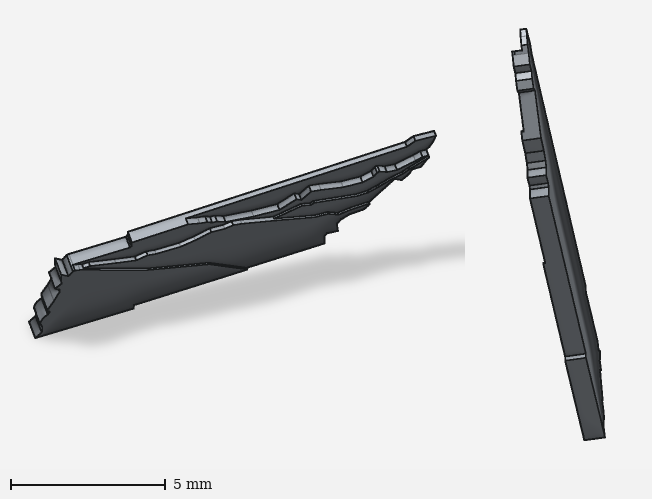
import cadquery as cq


LENGTH = 13.72
HEIGHT = 4.95

BASE_TOP = 0.2
SECOND_TOP = 0.45
THIRD_TOP = 0.54
FOURTH_TOP = 0.62
FIFTH_TOP = 0.69

CLEARANCE = 0.14

WEST_TIP = (LENGTH, HEIGHT)
SOUTH_EAST_TIP = (0.0, 0.0)
NORTH_EAST_CORNER = (1.28, 3.18)

north_border = [
    WEST_TIP, (13.02, HEIGHT), (12.73, 4.75), (3.35, 3.62),
    (3.33, 3.43), (3.28, 3.38), (1.35, 3.21), NORTH_EAST_CORNER,
]
upper_east_border = [
    (1.13, 2.98), (0.88, 3.17), (0.88, 2.8), (0.9, 2.68), (0.67, 2.47),
    (0.82, 2.35), (0.82, 2.22), (0.63, 1.8), (0.41, 1.39),
    (0.41, 1.33), (0.5, 1.25), (0.43, 1.14),
]
BULGE_MIDDLE = (0.22, 0.9)
BULGE_END = (0.16, 0.71)
HOLLOW_MIDDLE = (0.25, 0.44)
HOLLOW_END = (0.22, 0.23)

south_border = [
    (3.33, 0.27), (3.35, 0.45), (9.82, 1.13), (9.82, 1.55), (9.9, 1.65),
    (10.28, 1.63), (10.24, 2.05), (10.37, 2.22), (10.66, 2.39), (11.15, 2.47),
]
west_border = [
    (12.21, 3.61), (12.46, 3.45), (12.69, 3.66), (12.81, 3.9),
    (13.1, 3.91), (13.31, 4.24), (13.5, 4.43), (13.64, 4.7),
]

SHEET_WEST_TIP = (13.39, 4.32)
NORTH_JOINT = (1.35, 3.2)

second_edge = [
    SHEET_WEST_TIP, (13.18, 4.32), (12.94, 4.2), (12.32, 3.95), (11.98, 3.98),
    (11.73, 4.12), (11.65, 4.07), (11.52, 3.91), (11.15, 3.75), (10.5, 3.75),
    (9.74, 3.91), (9.41, 3.95), (9.08, 3.62), (8.92, 3.73), (8.34, 3.38),
    (7.46, 3.38), (6.52, 3.46), (6.23, 3.61), (6.06, 3.61), (5.9, 3.7),
    (5.64, 3.75), (5.23, 3.85),
]
shared_edge = [
    (8.14, 3.09), (7.01, 3.38), (6.72, 3.42), (6.43, 3.33), (5.98, 3.33),
    (5.43, 3.1), (4.94, 2.95), (4.12, 2.9), (3.83, 2.94), (3.45, 2.81),
    (2.75, 2.95), (1.88, 3.14), (1.51, 3.09), NORTH_JOINT,
]
third_edge = [
    SHEET_WEST_TIP, (12.73, 3.95), (12.49, 3.77), (12.14, 3.65), (11.69, 3.4),
    (11.32, 3.22), (10.95, 3.18), (9.5, 3.4), (9.37, 3.33), (9.08, 3.42),
] + shared_edge
fourth_edge = [
    (11.35, 2.72), (10.7, 2.63), (10.29, 2.52), (9.95, 2.72), (9.5, 2.72),
] + shared_edge
fifth_edge = [(7.18, 0.86), (5.9, 1.67), (3.79, 2.22), (1.51, 3.17), NORTH_JOINT]


def full_plate(thickness):
    """The whole map outline, extruded from X = 0."""
    return (
        cq.Workplane("YZ")
        .polyline(north_border + upper_east_border)
        .threePointArc(BULGE_MIDDLE, BULGE_END)
        .threePointArc(HOLLOW_MIDDLE, HOLLOW_END)
        .lineTo(*SOUTH_EAST_TIP)
        .polyline(south_border + west_border, includeCurrent=True)
        .close()
        .extrude(thickness)
    )


def raised_sheet(upper_edge, top):
    """The part of the plate below an upper edge and east of its two ends."""
    west_y = upper_edge[0][0]
    east_y = upper_edge[-1][0]
    trim_area = upper_edge + [
        (east_y, HEIGHT + CLEARANCE),
        (-CLEARANCE, HEIGHT + CLEARANCE),
        (-CLEARANCE, -CLEARANCE),
        (west_y, -CLEARANCE),
    ]
    trim_block = cq.Workplane("YZ").polyline(trim_area).close().extrude(top)
    return full_plate(top).intersect(trim_block)


result = full_plate(BASE_TOP)
for edge, sheet_top in [
    (second_edge, SECOND_TOP),
    (third_edge, THIRD_TOP),
    (fourth_edge, FOURTH_TOP),
    (fifth_edge, FIFTH_TOP),
]:
    result = result.union(raised_sheet(edge, sheet_top))
result = result.clean()